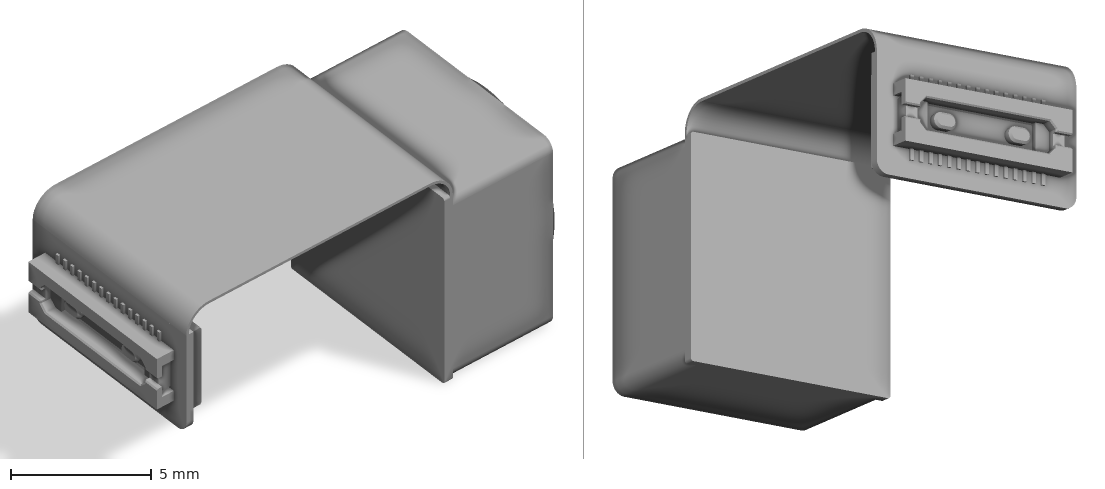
import cadquery as cq

MODULE_SIDE = 8.5
MODULE_CORNER_RADIUS = 0.5
HOUSING_DEPTH = 4.64
NOSE_DEPTH = 0.5

FLEX_THICKNESS = 0.12
CAMERA_STIFFENER_THICKNESS = 0.15
CAMERA_COVER_THICKNESS = 0.13
LAYER_CORNER_RADIUS = 0.11
CONNECTOR_STIFFENER_THICKNESS = 0.22

RIBBON_SPAN = 12.34
BEND_OUTER_RADIUS = 1.05
BEND_INNER_RADIUS = BEND_OUTER_RADIUS - FLEX_THICKNESS

CONNECTOR_LEG_HEIGHT = 4.5
CONNECTOR_LEG_CORNER_RADIUS = 0.5
BLOCK_MARGIN = 0.5
BLOCK_DEPTH = 0.77
BLOCK_EDGE_RADIUS = 0.07

CONNECTOR_WIDTH = 7.12
CONNECTOR_HEIGHT = 2.32
CONNECTOR_DEPTH = 0.78
RIM_CHAMFER = 0.05
CAVITY_WIDTH = 5.77
CAVITY_HEIGHT = 1.2
CAVITY_CORNER = 0.25
SHELF_DEPTH = 0.47
POCKET_WIDTH = 4.6
POCKET_DEPTH = 0.7
POCKET_FLOOR_CHAMFER = 0.05
END_SLOT_HEIGHT = 0.47
END_SLOT_DEPTH = 0.24
END_NOTCH_WIDTH = 0.18
END_NOTCH_HEIGHT = 1.42
END_NOTCH_CHAMFER = 0.11

KEY_LENGTH = 0.93
KEY_HEIGHT = 0.6
KEY_RISE = 0.36
KEY_CHAMFER = 0.1
KEY_SPACING = 3.18

TAIL_COUNT = 15
TAIL_ROW_LENGTH = 5.6
TAIL_PITCH = TAIL_ROW_LENGTH / (TAIL_COUNT - 1)
TAIL_WIDTH = 0.15
TAIL_OVERHANG = 0.42
TAIL_THICKNESS = 0.1

SELECTION_GAP = 0.002

CAMERA_COVER_REAR = -FLEX_THICKNESS - CAMERA_STIFFENER_THICKNESS
LEG_FRONT = -RIBBON_SPAN
LEG_REAR = LEG_FRONT + FLEX_THICKNESS
STIFFENER_REAR = LEG_REAR + CONNECTOR_STIFFENER_THICKNESS
CONNECTOR_FRONT = LEG_FRONT - CONNECTOR_DEPTH
CAMERA_CENTER_Z = MODULE_SIDE / 2
CONNECTOR_CENTER_Z = MODULE_SIDE - CONNECTOR_LEG_HEIGHT / 2
RIBBON_TOP = MODULE_SIDE + BEND_OUTER_RADIUS


def plate(width, height, rear_y, center_z, thickness):
    """Upright rectangular slab that extends from rear_y toward -Y."""
    plane = cq.Workplane("XZ", origin=(0, rear_y, center_z))
    return plane.rect(width, height).extrude(thickness)


def make_camera_module():
    housing = plate(MODULE_SIDE, MODULE_SIDE, HOUSING_DEPTH, CAMERA_CENTER_Z, HOUSING_DEPTH)
    housing = housing.edges("|Y").fillet(MODULE_CORNER_RADIUS)
    nose_tip_radius = MODULE_SIDE / 2 - NOSE_DEPTH
    nose = (
        cq.Workplane("YZ", origin=(0, HOUSING_DEPTH, CAMERA_CENTER_Z))
        .polyline([(0, 0), (0, MODULE_SIDE / 2), (NOSE_DEPTH, nose_tip_radius), (NOSE_DEPTH, 0)])
        .close()
        .revolve(360, (0, 0), (1, 0))
    )
    return housing.union(nose)


def make_camera_leg():
    leg = plate(MODULE_SIDE, MODULE_SIDE, 0, CAMERA_CENTER_Z, FLEX_THICKNESS)
    return leg.edges("|Y and <Z").fillet(LAYER_CORNER_RADIUS)


def make_camera_layer(rear_y, thickness):
    layer = plate(MODULE_SIDE, MODULE_SIDE, rear_y, CAMERA_CENTER_Z, thickness)
    return layer.edges("|Y").fillet(LAYER_CORNER_RADIUS)


def make_ribbon():
    """Flat strip with a quarter bend down at each end."""
    section = (
        cq.Workplane("YZ", origin=(-MODULE_SIDE / 2, 0, 0))
        .moveTo(0, MODULE_SIDE)
        .radiusArc((-BEND_OUTER_RADIUS, RIBBON_TOP), -BEND_OUTER_RADIUS)
        .lineTo(LEG_FRONT + BEND_OUTER_RADIUS, RIBBON_TOP)
        .radiusArc((LEG_FRONT, MODULE_SIDE), -BEND_OUTER_RADIUS)
        .lineTo(LEG_REAR, MODULE_SIDE)
        .radiusArc((LEG_FRONT + BEND_OUTER_RADIUS, RIBBON_TOP - FLEX_THICKNESS), BEND_INNER_RADIUS)
        .lineTo(-BEND_OUTER_RADIUS, RIBBON_TOP - FLEX_THICKNESS)
        .radiusArc((-FLEX_THICKNESS, MODULE_SIDE), BEND_INNER_RADIUS)
        .close()
    )
    return section.extrude(MODULE_SIDE)


def make_connector_layer(rear_y, thickness):
    layer = plate(MODULE_SIDE, CONNECTOR_LEG_HEIGHT, rear_y, CONNECTOR_CENTER_Z, thickness)
    return layer.edges("|Y and <Z").fillet(CONNECTOR_LEG_CORNER_RADIUS)


def make_block():
    width = MODULE_SIDE - 2 * BLOCK_MARGIN
    height = CONNECTOR_LEG_HEIGHT - 2 * BLOCK_MARGIN
    block = plate(width, height, STIFFENER_REAR + BLOCK_DEPTH, CONNECTOR_CENTER_Z, BLOCK_DEPTH)
    return block.edges("|X").fillet(BLOCK_EDGE_RADIUS)


def connector_recess(width, height, depth):
    """Rectangular volume cut into the connector from its front face."""
    return plate(width, height, CONNECTOR_FRONT + depth, CONNECTOR_CENTER_Z, depth)


def make_mating_opening():
    """Cavity with cut corners plus a slot to both ends, widened by a chamfer at the front rim."""
    cavity = connector_recess(CAVITY_WIDTH, CAVITY_HEIGHT, SHELF_DEPTH)
    cavity = cavity.edges("|Y").chamfer(CAVITY_CORNER)
    slot = connector_recess(CONNECTOR_WIDTH, END_SLOT_HEIGHT, END_SLOT_DEPTH)
    return cavity.union(slot)


def opening_rim_edges():
    """Selects the opening's edges on the connector's front face."""
    reach_x = CONNECTOR_WIDTH / 2 - SELECTION_GAP
    reach_z = CONNECTOR_HEIGHT / 2 - SELECTION_GAP
    return cq.selectors.BoxSelector(
        (-reach_x, CONNECTOR_FRONT - SELECTION_GAP, CONNECTOR_CENTER_Z - reach_z),
        (reach_x, CONNECTOR_FRONT + SELECTION_GAP, CONNECTOR_CENTER_Z + reach_z),
    )


def make_pocket():
    """Deep middle of the cavity, with chamfers along the two long edges of its floor."""
    pocket = connector_recess(POCKET_WIDTH, CAVITY_HEIGHT, POCKET_DEPTH)
    return pocket.edges("|X and >Y").chamfer(POCKET_FLOOR_CHAMFER)


def make_end_notch(side):
    """Undercut below the end slot, whose floor has chamfers falling away along its upper and lower sides."""
    end_x = side * CONNECTOR_WIDTH / 2
    floor_x = side * (CONNECTOR_WIDTH / 2 - END_NOTCH_WIDTH)
    corner_x = floor_x - side * END_NOTCH_CHAMFER
    corner_z = END_NOTCH_HEIGHT / 2
    floor_z = corner_z - END_NOTCH_CHAMFER
    outline = [
        (end_x, -corner_z),
        (end_x, corner_z),
        (corner_x, corner_z),
        (floor_x, floor_z),
        (floor_x, -floor_z),
        (corner_x, -corner_z),
    ]
    plane = cq.Workplane("XZ", origin=(0, LEG_FRONT, CONNECTOR_CENTER_Z))
    return plane.polyline(outline).close().extrude(CONNECTOR_DEPTH - END_SLOT_DEPTH)


def make_key(x):
    floor_y = CONNECTOR_FRONT + POCKET_DEPTH
    plane = cq.Workplane("XZ", origin=(x, floor_y, CONNECTOR_CENTER_Z))
    return plane.slot2D(KEY_LENGTH, KEY_HEIGHT).extrude(KEY_RISE).faces("<Y").chamfer(KEY_CHAMFER)


def make_tail(x, side):
    """Flat solder tail that lies on the connector leg, above (side 1) or below (side -1) the body."""
    center_z = CONNECTOR_CENTER_Z + side * (CONNECTOR_HEIGHT + TAIL_OVERHANG) / 2
    tail = plate(TAIL_WIDTH, TAIL_OVERHANG, LEG_FRONT, center_z, TAIL_THICKNESS)
    return tail.translate((x, 0, 0))


def make_connector():
    body = plate(CONNECTOR_WIDTH, CONNECTOR_HEIGHT, LEG_FRONT, CONNECTOR_CENTER_Z, CONNECTOR_DEPTH)
    body = body.cut(make_mating_opening())
    body = body.edges(opening_rim_edges()).chamfer(RIM_CHAMFER)
    body = body.cut(make_pocket())
    for side in (-1, 1):
        body = body.cut(make_end_notch(side))
        body = body.union(make_key(side * KEY_SPACING / 2))

    for index in range(TAIL_COUNT):
        x = (index - (TAIL_COUNT - 1) / 2) * TAIL_PITCH
        for side in (-1, 1):
            body = body.union(make_tail(x, side))
    return body


camera_module = make_camera_module()
camera_leg = make_camera_leg()
camera_stiffener = make_camera_layer(-FLEX_THICKNESS, CAMERA_STIFFENER_THICKNESS)
camera_cover = make_camera_layer(CAMERA_COVER_REAR, CAMERA_COVER_THICKNESS)
ribbon = make_ribbon()
connector_leg = make_connector_layer(LEG_REAR, FLEX_THICKNESS)
connector_stiffener = make_connector_layer(STIFFENER_REAR, CONNECTOR_STIFFENER_THICKNESS)
block = make_block()
connector = make_connector()

result = cq.Compound.makeCompound([
    camera_module.val(),
    camera_leg.val(),
    camera_stiffener.val(),
    camera_cover.val(),
    ribbon.val(),
    connector_leg.val(),
    connector_stiffener.val(),
    block.val(),
    connector.val(),
])